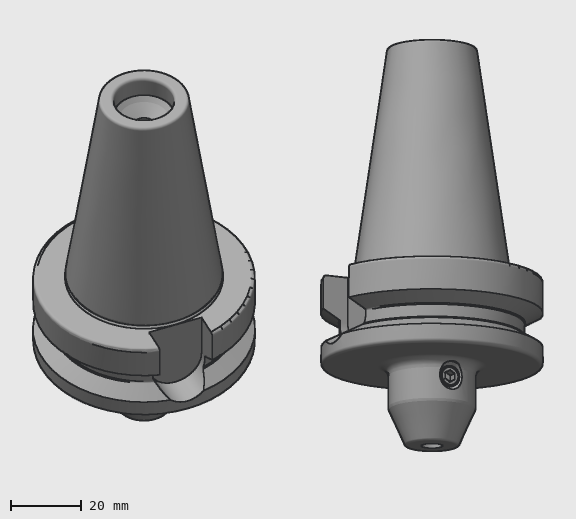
import cadquery as cq
import math

total_height = 115.4
flange_radius = 31.5
flange_bottom = 23.1
flange_top = 48.2
flange_top_fillet = 1.0
flange_bottom_fillet = 1.2

groove_radius = 26.3
groove_center = 33.5
groove_floor_width = 4.0
groove_wall_angle = 30.0
groove_corner_radius = 0.5
groove_wall_rise = (flange_radius - groove_radius) * math.tan(math.radians(groove_wall_angle))
groove_floor_bottom = groove_center - groove_floor_width / 2
groove_floor_top = groove_center + groove_floor_width / 2

gauge_radius = 22.3
gauge_height = 50.0
collar_bottom = 49.3
relief_radius = 21.8
relief_top = 48.8
relief_foot_radius = 22.5
taper_ratio = 7 / 24
shank_top_radius = gauge_radius - (total_height - gauge_height) * taper_ratio / 2
shank_top_fillet = 0.9

nose_radius = 12.5
nose_root_fillet = 3.0
nose_shoulder = 10.7
nose_shoulder_fillet = 2.0
nose_tip_radius = 7.6
nose_tip_fillet = 0.9

slot_width = 16.2
slot_floor_x = 22.6
slot_bottom = 26.7

tool_bore_radius = 3.0
counterbore_radius = 8.5
counterbore_depth = 6.1
counterbore_mouth_fillet = 1.0
bore_step_radius = 7.0
bore_step_depth = 7.4
drill_tip_angle = 118.0

screw_height = 18.0
screw_radius = 3.0
screw_chamfer = 0.5
screw_face_depth = 1.0
countersink_radius = 4.0
hex_across_flats = 3.0
hex_depth = 2.9


def ring_edges(body, radius, height):
    """Select the circular edge with the given radius and height."""
    tolerance = 0.01
    return body.edges("%CIRCLE").filter(
        lambda edge: abs(edge.radius() - radius) < tolerance
        and abs(edge.Center().z - height) < tolerance
    )


def make_body():
    outline = [
        (0, 0),
        (nose_tip_radius, 0),
        (nose_radius, nose_shoulder),
        (nose_radius, flange_bottom),
        (flange_radius, flange_bottom),
        (flange_radius, groove_floor_bottom - groove_wall_rise),
        (groove_radius, groove_floor_bottom),
        (groove_radius, groove_floor_top),
        (flange_radius, groove_floor_top + groove_wall_rise),
        (flange_radius, flange_top),
        (relief_foot_radius, flange_top),
        (relief_radius, relief_top),
        (gauge_radius, collar_bottom),
        (gauge_radius, gauge_height),
        (shank_top_radius, total_height),
        (0, total_height),
    ]
    body = cq.Workplane("XZ").polyline(outline).close().revolve(360, (0, 0, 0), (0, 1, 0))
    body = ring_edges(body, flange_radius, flange_bottom).fillet(flange_bottom_fillet)
    body = ring_edges(body, flange_radius, flange_top).fillet(flange_top_fillet)
    body = ring_edges(body, nose_radius, flange_bottom).fillet(nose_root_fillet)
    body = ring_edges(body, nose_radius, nose_shoulder).fillet(nose_shoulder_fillet)
    body = ring_edges(body, nose_tip_radius, 0).fillet(nose_tip_fillet)
    for height in (groove_floor_bottom, groove_floor_top):
        body = ring_edges(body, groove_radius, height).fillet(groove_corner_radius)
    return ring_edges(body, shank_top_radius, total_height).fillet(shank_top_fillet)


def make_drive_slot(side):
    """Round-bottomed slot, open at the flange top; side is +1 or -1 along X."""
    half_width = slot_width / 2
    arc_center = slot_bottom + half_width
    return (
        cq.Workplane("YZ")
        .workplane(offset=side * slot_floor_x)
        .moveTo(-half_width, flange_top)
        .lineTo(-half_width, arc_center)
        .threePointArc((0, slot_bottom), (half_width, arc_center))
        .lineTo(half_width, flange_top)
        .close()
        .extrude(side * (flange_radius - slot_floor_x))
    )


def make_central_bore():
    """Counterbore with a tapered floor edge, drill-tip cone and tool bore, as one cutter."""
    counterbore_floor = total_height - counterbore_depth
    step_height = total_height - bore_step_depth
    tip_length = (bore_step_radius - tool_bore_radius) / math.tan(math.radians(drill_tip_angle / 2))
    outline = [
        (0, 0),
        (tool_bore_radius, 0),
        (tool_bore_radius, step_height - tip_length),
        (bore_step_radius, step_height),
        (counterbore_radius, counterbore_floor),
        (counterbore_radius, total_height),
        (0, total_height),
    ]
    return cq.Workplane("XZ").polyline(outline).close().revolve(360, (0, 0, 0), (0, 1, 0))


def make_screw_recess():
    """Countersunk mouth around the chamfered screw end, with its hex socket."""
    face_y = nose_radius - screw_face_depth
    countersink_depth = countersink_radius - screw_radius
    outline = [
        (0, face_y),
        (screw_radius - screw_chamfer, face_y),
        (screw_radius, face_y - screw_chamfer),
        (screw_radius, nose_radius - countersink_depth),
        (countersink_radius, nose_radius),
        (countersink_radius, nose_radius + nose_root_fillet),
        (0, nose_radius + nose_root_fillet),
    ]
    recess = (
        cq.Workplane(cq.Plane((0, 0, screw_height), (1, 0, 0), (0, 0, 1)))
        .polyline([(radius, -distance) for radius, distance in outline])
        .close()
        .revolve(360, (0, 0, 0), (0, 1, 0))
    )
    hex_across_corners = hex_across_flats / math.cos(math.radians(30))
    socket = (
        cq.Workplane(cq.Plane((0, -face_y, screw_height), (0, 0, 1), (0, 1, 0)))
        .polygon(6, hex_across_corners)
        .extrude(hex_depth)
    )
    return recess.union(socket)


result = make_body()
for slot_side in (-1, 1):
    result = result.cut(make_drive_slot(slot_side))
result = result.cut(make_central_bore())
result = ring_edges(result, counterbore_radius, total_height).fillet(counterbore_mouth_fillet)
result = result.cut(make_screw_recess())